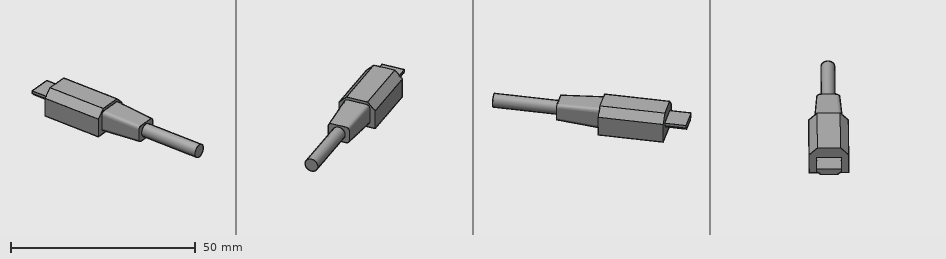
import cadquery as cq
import math

plug_length = 5.9
body_length = 18.0
boot_length = 12.0
total_length = 53.9

plug_width = 6.7
plug_height = 1.8
plug_chamfer = 0.95

body_width = 10.8
body_height = 7.9
body_chamfer = 2.25

boot_width = 7.6
boot_height = 6.25
boot_taper = 3.0
boot_fillet = 1.0

cable_diameter = 3.8

body_start = plug_length
boot_start = body_start + body_length
cable_start = boot_start + boot_length
cable_length = total_length - cable_start


def section_plane(x):
    """Plane across the connector axis, with local x along Y and local y along Z."""
    return cq.Workplane("YZ", origin=(x, 0, 0))


def make_plug():
    block = section_plane(0).rect(plug_width, plug_height).extrude(plug_length)
    return block.faces("<Z").edges("|X").chamfer(plug_chamfer)


def make_body():
    block = section_plane(body_start).rect(body_width, body_height).extrude(body_length)
    return block.faces(">Z").edges("|X").chamfer(body_chamfer)


def make_boot():
    shrink = 2 * boot_length * math.tan(math.radians(boot_taper))
    wedge = (
        section_plane(boot_start)
        .rect(boot_width, boot_height)
        .workplane(offset=boot_length)
        .rect(boot_width - shrink, boot_height - shrink)
        .loft(ruled=True)
    )
    return wedge.edges("not(<X or >X)").fillet(boot_fillet)


def make_cable():
    return section_plane(cable_start).circle(cable_diameter / 2).extrude(cable_length)


result = make_body().union(make_plug()).union(make_boot()).union(make_cable())